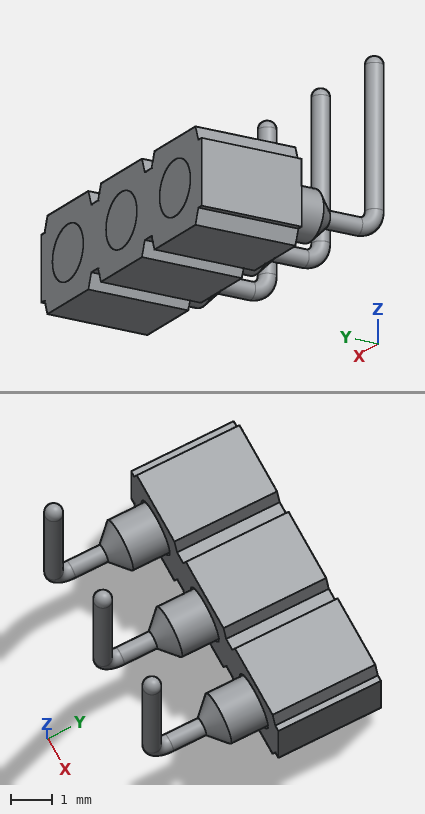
import cadquery as cq

pin_count = 3
housing_length = 7.62
pitch = housing_length / pin_count
housing_height = pitch
housing_depth = 2.8
groove_depth = 0.4
groove_floor_width = 0.32
groove_mouth_width = 0.595

tail_diameter = 0.465
tail_radius = tail_diameter / 2
barrel_radius = 0.68
seat_radius = 0.73
barrel_length = 0.97
taper_length = barrel_radius - tail_radius
shoulder_recess = 0.23
shoulder_length = seat_radius - barrel_radius
tail_reach = 3.01
bend_radius = tail_diameter
overall_height = 5.74
tail_rise = overall_height - housing_height / 2

pin_positions = [(i - (pin_count - 1) / 2) * pitch for i in range(pin_count)]


def make_groove_cutter(x, side):
    """Groove across the top (side = 1) or bottom (side = -1) of the housing, centred on x."""
    mouth = side * housing_height / 2
    floor = mouth - side * groove_depth
    return (
        cq.Workplane("XZ")
        .polyline([
            (x - groove_mouth_width / 2, mouth),
            (x - groove_floor_width / 2, floor),
            (x + groove_floor_width / 2, floor),
            (x + groove_mouth_width / 2, mouth),
        ])
        .close()
        .extrude(-housing_depth)
    )


def make_housing():
    """Grooved bar with one through hole per pin; the end grooves are cut in half by the bar's ends."""
    body = cq.Workplane("XY").box(housing_length, housing_depth, housing_height)
    body = body.translate((0, housing_depth / 2, 0))
    for i in range(pin_count + 1):
        x = i * pitch - housing_length / 2
        for side in (1, -1):
            body = body.cut(make_groove_cutter(x, side))
    holes = (
        cq.Workplane("XZ")
        .pushPoints([(x, 0) for x in pin_positions])
        .circle(seat_radius)
        .extrude(-housing_depth)
    )
    return body.cut(holes)


def make_barrel():
    """Turned part of the pin: seat in the housing, 45-degree shoulder, barrel and 45-degree taper."""
    taper_end = -barrel_length - taper_length
    return (
        cq.Workplane("XY")
        .polyline([
            (0, housing_depth),
            (seat_radius, housing_depth),
            (seat_radius, shoulder_recess + shoulder_length),
            (barrel_radius, shoulder_recess),
            (barrel_radius, -barrel_length),
            (tail_radius, taper_end),
            (0, taper_end),
        ])
        .close()
        .revolve(360, (0, 0, 0), (0, 1, 0))
    )


def make_tail():
    """Round wire that leaves the taper, bends up through 90 degrees and ends in a hemisphere."""
    start_y = -barrel_length - taper_length
    rise_y = -tail_reach + tail_radius
    path = (
        cq.Workplane("YZ")
        .moveTo(start_y, 0)
        .lineTo(rise_y + bend_radius, 0)
        .tangentArcPoint((rise_y, bend_radius), relative=False)
        .lineTo(rise_y, tail_rise - tail_radius)
    )
    wire = cq.Workplane("XZ", origin=(0, start_y, 0)).circle(tail_radius).sweep(path)
    tip = cq.Workplane("XY", origin=(0, rise_y, tail_rise - tail_radius)).sphere(tail_radius)
    return wire.union(tip)


def make_pin(x):
    """One complete pin with its axis at x."""
    return make_barrel().union(make_tail()).translate((x, 0, 0))


housing = make_housing()
pins = [make_pin(x) for x in pin_positions]

result = cq.Compound.makeCompound([housing.val(), *[pin.val() for pin in pins]])